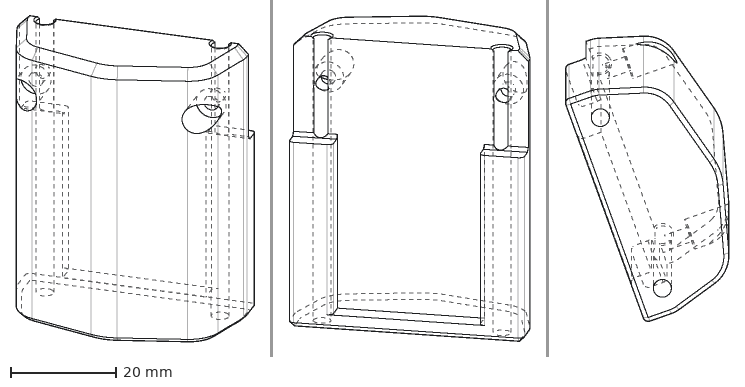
import cadquery as cq
import math

WIDTH = 45.7
DEPTH = 23.35
HEIGHT = 56.9

SIDE_LENGTH = 6.15
SIDE_LEAN = 17.0
FRONT_SWEEP = 15.0
NOSE_RADIUS = 10.0
CORNER_RADIUS = 6.65
SIDE_RADIUS = 5.7
BACK_RADIUS = 1.0

TOP_CHAMFER = 2.0
BOTTOM_CHAMFER = 0.95

SEAT_DEPTH = 4.4
LEDGE_Z = 37.0
SEAT_CORNER = 0.75

SLOT_WIDTH = 28.55
FLOOR_THICKNESS = 3.0

HOLE_SPACING = 35.0
BORE_DIAMETER = 3.4
BORE_CHAMFER = 0.4
BORE_FROM_BACK = 5.4
SCREW_Z = 46.9
SCREW_DIAMETER = 2.85
HEAD_DIAMETER = 6.0
HEAD_SEAT_FROM_BACK = 11.0


def round_edges(body, x, y, radius):
    """Fillet the vertical edge at (x, y) and its mirror image across X = 0."""
    for side in {-x, x}:
        body = body.edges(cq.NearestToPointSelector((side, y, HEIGHT / 2))).fillet(radius)
    return body


def make_blank():
    """Prism with a rounded plan outline and chamfered ends."""
    half_width = WIDTH / 2
    front_slope = math.tan(math.radians(FRONT_SWEEP))
    side_slope = math.tan(math.radians(SIDE_LEAN))
    nose_y = -DEPTH - NOSE_RADIUS * (1 / math.cos(math.radians(FRONT_SWEEP)) - 1)
    corner_x = (half_width + side_slope * (nose_y + SIDE_LENGTH)) / (1 - side_slope * front_slope)
    corner_y = nose_y + front_slope * corner_x

    blank = (
        cq.Workplane("XY")
        .polyline([
            (-half_width, 0),
            (-half_width, -SIDE_LENGTH),
            (-corner_x, corner_y),
            (0, nose_y),
            (corner_x, corner_y),
            (half_width, -SIDE_LENGTH),
            (half_width, 0),
        ])
        .close()
        .extrude(HEIGHT)
    )

    blank = round_edges(blank, 0, nose_y, NOSE_RADIUS)
    blank = round_edges(blank, corner_x, corner_y, CORNER_RADIUS)
    blank = round_edges(blank, half_width, -SIDE_LENGTH, SIDE_RADIUS)
    blank = round_edges(blank, half_width, 0, BACK_RADIUS)
    blank = blank.faces("<Z").chamfer(BOTTOM_CHAMFER)
    return blank.faces(">Z").chamfer(TOP_CHAMFER)


def make_seat():
    """Cutter for the upper back, with its inner lower edge bevelled."""
    return (
        cq.Workplane("YZ")
        .moveTo(0, LEDGE_Z)
        .lineTo(0, HEIGHT)
        .lineTo(-SEAT_DEPTH, HEIGHT)
        .lineTo(-SEAT_DEPTH, LEDGE_Z + SEAT_CORNER)
        .lineTo(-SEAT_DEPTH + SEAT_CORNER, LEDGE_Z)
        .close()
        .extrude(WIDTH / 2, both=True)
    )


def make_slot():
    """Cutter between the rails, flared so that the rails' back corners come out round."""
    half = SLOT_WIDTH / 2
    mouth = half + BACK_RADIUS
    bend = BACK_RADIUS * (1 - math.sqrt(0.5))
    return (
        cq.Workplane("XY", origin=(0, 0, FLOOR_THICKNESS))
        .moveTo(-half, -SEAT_DEPTH)
        .lineTo(half, -SEAT_DEPTH)
        .lineTo(half, -BACK_RADIUS)
        .threePointArc((half + bend, -bend), (mouth, 0))
        .lineTo(-mouth, 0)
        .threePointArc((-half - bend, -bend), (-half, -BACK_RADIUS))
        .close()
        .extrude(HEIGHT - FLOOR_THICKNESS)
    )


def make_bore(x):
    """Cutter for a vertical through bore with a chamfered mouth at the top."""
    radius = BORE_DIAMETER / 2
    bore = cq.Workplane("XY").circle(radius).extrude(HEIGHT)
    mouth_base = cq.Vector(0, 0, HEIGHT - BORE_CHAMFER)
    mouth = cq.Solid.makeCone(radius, radius + BORE_CHAMFER, BORE_CHAMFER, mouth_base)
    return bore.union(cq.Workplane(mouth)).translate((x, -BORE_FROM_BACK, 0))


def make_screw_hole(x):
    """Cutter for a front-to-back screw hole with a counterbore for the head."""
    front = cq.Workplane("XZ", origin=(x, 0, SCREW_Z))
    shank = front.circle(SCREW_DIAMETER / 2).extrude(DEPTH)
    head = front.workplane(offset=HEAD_SEAT_FROM_BACK).circle(HEAD_DIAMETER / 2).extrude(DEPTH)
    return shank.union(head)


def make_housing():
    housing = make_blank().cut(make_seat()).cut(make_slot())
    for x in (-HOLE_SPACING / 2, HOLE_SPACING / 2):
        housing = housing.cut(make_bore(x)).cut(make_screw_hole(x))
    return housing


housing = make_housing()

result = cq.Compound.makeCompound([housing.val()])